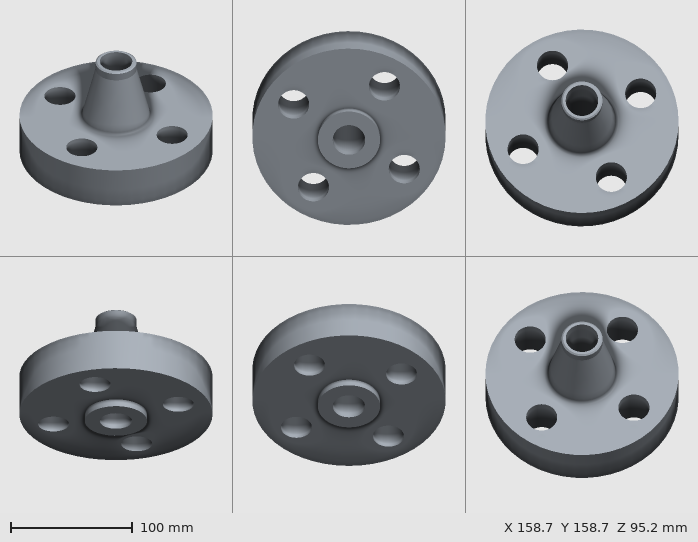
import cadquery as cq

flange_diameter = 158.7
flange_thickness = 34.9

face_diameter = 51.1
face_height = 6.3

overall_height = 95.2
hub_base_diameter = 57.0
hub_fillet_radius = 3.0
weld_end_diameter = 33.6
weld_end_length = 7.3
weld_bevel_width = 1.3
weld_bevel_height = 1.0

bore_diameter = 26.7
bolt_circle_diameter = 108.0
bolt_hole_diameter = 25.5
bolt_hole_count = 4

flange_top = face_height + flange_thickness
weld_end_bottom = overall_height - weld_end_length
weld_bevel_bottom = overall_height - weld_bevel_height


def turned_body():
    """Raised face, disc, hub and bevelled weld end, revolved solid about the Z axis."""
    weld_end_radius = weld_end_diameter / 2
    profile = [
        (0, 0),
        (face_diameter / 2, 0),
        (face_diameter / 2, face_height),
        (flange_diameter / 2, face_height),
        (flange_diameter / 2, flange_top),
        (hub_base_diameter / 2, flange_top),
        (weld_end_radius, weld_end_bottom),
        (weld_end_radius, weld_bevel_bottom),
        (weld_end_radius - weld_bevel_width, overall_height),
        (0, overall_height),
    ]
    return cq.Workplane("XZ").polyline(profile).close().revolve(360, (0, 0, 0), (0, 1, 0))


def fillet_hub_base(body):
    """Blend the hub into the upper face of the disc, along the inner circle of that face."""
    disc_upper_face = cq.selectors.NearestToPointSelector((flange_diameter / 2, 0, flange_top))
    hub_base_circle = cq.selectors.RadiusNthSelector(0)
    return body.faces(disc_upper_face).edges(hub_base_circle).fillet(hub_fillet_radius)


def bore_cutter():
    """Straight bore through the full height."""
    return cq.Workplane("XY").circle(bore_diameter / 2).extrude(overall_height)


def bolt_hole_cutters():
    """Bolt holes on the X and Y axes, right through the disc."""
    return (
        cq.Workplane("XY")
        .polarArray(bolt_circle_diameter / 2, 0, 360, bolt_hole_count)
        .circle(bolt_hole_diameter / 2)
        .extrude(flange_top)
    )


result = fillet_hub_base(turned_body()).cut(bore_cutter()).cut(bolt_hole_cutters())